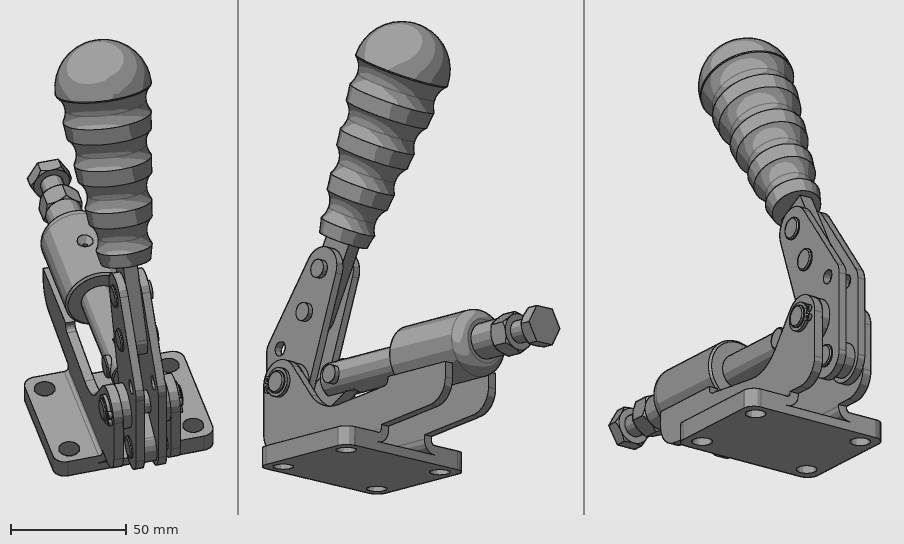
import cadquery as cq
import math


axis_height = 43.0
pivot = (0, axis_height)
plunger_joint = (-26.0, axis_height)
link_joint = (7.0, 24.6)
lever_joint = (-17.5, 92.1)
lever_tilt = math.radians(28)
rivet_spacing = 20.0
lever_lower_joint = (
    lever_joint[0] + rivet_spacing * math.sin(lever_tilt),
    lever_joint[1] - rivet_spacing * math.cos(lever_tilt),
)

base_width = 72.0
base_left = -64.1
base_right = -8.0
base_thickness = 4.1
base_corner_radius = 5.3
base_hole_diameter = 9.0
base_hole_places = [(x, y) for x in (-55.7, -15.8) for y in (-28.0, 28.0)]
sheet = 4.3
bracket_outer_y = 15.0
bracket_inner_y = bracket_outer_y - sheet
bend_outer_radius = 6.0
bend_inner_radius = bend_outer_radius - sheet
bracket_left = -104.6
bracket_saddle_z = 32.9
bracket_notch_z = 29.3
bracket_bottom_z = 11.0
bracket_step_z = 12.1
bracket_taper = math.radians(5.7)
bracket_arm_angle = math.radians(53)
pivot_boss_radius = 10.2
saddle_notch_radius = 2.5
bracket_throat_radius = 19.5
bracket_heel_radius = 10.8
bracket_nose_radius = 10.8

barrel_left = -113.5
barrel_right = -68.2
barrel_radius = 14.9
barrel_nose_radius = 5.0
barrel_rear_chamfer = 1.0
grease_hole_x = -90.7
grease_hole_diameter = 7.6
grease_cone_depth = 2.7
grease_passage_diameter = 2.0
plunger_left = -126.0
plunger_right = -17.6
plunger_radius = 8.0
plunger_end_chamfer = 0.5
plunger_slot_left = -34.6
nut_left = -135.1
nut_turn = 20
bolt_left = -151.3
bolt_head_right = -145.3
bolt_diameter = 10.0
hex_corner_diameter = 18.5
hex_chamfer_length = 1.0

lever_gap = 6.3
lever_outer_y = 6.8
lever_end_radius = 10.0
lever_right = link_joint[0] + lever_end_radius
lever_slope = math.radians(53)
lever_corner_radius = 7.8
lever_hole_place = (8.5, 61.2)
lever_hole_diameter = 6.3
tang_width = 15.6
tang_overlap = 19.5
link_end_radius = 7.8
rivet_diameter = 8.0
rivet_head_diameter = 10.0
rivet_front_y = -8.0
rivet_rear_y = 9.2
rivet_chamfer = 0.5
plunger_rivet_extra = 1.2
pivot_pin_diameter = 10.0
spacer_diameter = 20.0
pivot_pin_end_y = 17.8
ring_outer_diameter = 13.0
ring_thickness = 1.5
ring_lug_radius = 1.5
ring_lug_x = 6.5
ring_lug_z = 2.2
ring_lug_hole_diameter = 1.2

grip_start = 14.7
grip_start_radius = 11.0
ring_count = 4
ring_pitch = 19.7
ring_growth = 2.3
crest_start, crest_radius = 21.0, 12.3
valley_start, valley_radius = 26.4, 10.8
shoulder_start, shoulder_radius = 33.5, 13.9
ball_center = 93.3
ball_radius = 21.1


def across(y_from, y_to):
    """Workplane facing -Y at y_from, and the extrusion that takes it to y_to."""
    return cq.Workplane("XZ", origin=(0, y_from, 0)), y_from - y_to


def disc(place, diameter, y_from, y_to):
    plane, depth = across(y_from, y_to)
    return plane.center(*place).circle(diameter / 2).extrude(depth)


def rod(radius, x_from, x_to):
    plane = cq.Workplane("YZ", origin=(x_from, 0, axis_height))
    return plane.circle(radius).extrude(x_to - x_from)


def both_sides(half):
    return half.union(half.mirror("XZ"))


def round_corner(solid, x, z, radius):
    """Round the edge along Y that passes nearest to the given corner."""
    return solid.edges("|Y").edges(cq.NearestToPointSelector((x, 0, z))).fillet(radius)


def make_base():
    flange_top = base_thickness + sheet
    bend_z = base_thickness + bend_outer_radius
    bend_y = bracket_inner_y + bend_outer_radius
    slant = math.sqrt(0.5)
    length = base_right - base_left
    base = cq.Workplane("XY", origin=(base_left, 0, 0)).box(
        length, base_width, base_thickness, centered=(False, True, False)
    )
    flange = (
        cq.Workplane("YZ", origin=(base_left, 0, 0))
        .moveTo(bracket_inner_y, bracket_bottom_z)
        .lineTo(bracket_inner_y, bend_z)
        .threePointArc(
            (bend_y - bend_outer_radius * slant, bend_z - bend_outer_radius * slant),
            (bend_y, base_thickness),
        )
        .lineTo(base_width / 2, base_thickness)
        .lineTo(base_width / 2, flange_top)
        .lineTo(bend_y, flange_top)
        .threePointArc(
            (bend_y - bend_inner_radius * slant, bend_z - bend_inner_radius * slant),
            (bracket_outer_y, bend_z),
        )
        .lineTo(bracket_outer_y, bracket_bottom_z)
        .close()
        .extrude(length)
    )
    base = base.union(both_sides(flange)).clean()
    for x in (base_left, base_right):
        for y in (-base_width / 2, base_width / 2):
            corner = cq.NearestToPointSelector((x, y, base_thickness))
            base = base.edges("|Z").edges(corner).fillet(base_corner_radius)
    holes = (
        cq.Workplane("XY")
        .pushPoints(base_hole_places)
        .circle(base_hole_diameter / 2)
        .extrude(flange_top)
    )
    return base.cut(holes)


def make_bracket_side():
    slope = math.tan(bracket_taper)
    arm = math.tan(bracket_arm_angle)
    tangent_x = -pivot_boss_radius * math.sin(bracket_arm_angle)
    tangent_z = axis_height + pivot_boss_radius * math.cos(bracket_arm_angle)
    throat_x = (bracket_notch_z + slope * barrel_right - tangent_z + arm * tangent_x) / (arm + slope)
    throat_z = tangent_z + arm * (throat_x - tangent_x)
    nose_z = bracket_step_z + slope * (base_left - bracket_left)
    plane, depth = across(bracket_inner_y, bracket_outer_y)
    side = (
        plane.moveTo(bracket_left, bracket_saddle_z)
        .lineTo(barrel_right, bracket_saddle_z)
        .lineTo(barrel_right, bracket_notch_z)
        .lineTo(throat_x, throat_z)
        .lineTo(tangent_x, tangent_z)
        .threePointArc((0, axis_height + pivot_boss_radius), (pivot_boss_radius, axis_height))
        .lineTo(pivot_boss_radius, bracket_bottom_z)
        .lineTo(base_left, bracket_bottom_z)
        .lineTo(base_left, bracket_step_z)
        .lineTo(bracket_left, nose_z)
        .close()
        .extrude(depth)
    )
    side = round_corner(side, barrel_right, bracket_notch_z, saddle_notch_radius)
    side = round_corner(side, throat_x, throat_z, bracket_throat_radius)
    side = round_corner(side, pivot_boss_radius, bracket_bottom_z, bracket_heel_radius)
    return round_corner(side, bracket_left, nose_z, bracket_nose_radius)


def make_barrel():
    barrel = rod(barrel_radius, barrel_left, barrel_right)
    barrel = barrel.faces("<X").edges().fillet(barrel_nose_radius)
    barrel = barrel.faces(">X").edges().chamfer(barrel_rear_chamfer)
    passage = grease_passage_diameter / 2
    grease_hole = (
        cq.Workplane("XZ", origin=(grease_hole_x, 0, axis_height))
        .polyline(
            [
                (0, plunger_radius),
                (passage, plunger_radius),
                (passage, barrel_radius - grease_cone_depth),
                (grease_hole_diameter / 2, barrel_radius),
                (0, barrel_radius),
            ]
        )
        .close()
        .revolve(360, (0, 0), (0, 1))
    )
    return barrel.cut(grease_hole)


def make_plunger():
    plunger = rod(plunger_radius, plunger_left, plunger_right)
    plunger = plunger.faces(">X").edges().chamfer(plunger_end_chamfer)
    slot = cq.Workplane("XY", origin=(plunger_slot_left, 0, axis_height)).box(
        plunger_right - plunger_slot_left, lever_gap, 2 * plunger_radius, centered=(False, True, True)
    )
    return plunger.cut(slot)


def make_hexagon(x_from, x_to, turn, chamfer_front):
    """Hexagonal prism along X whose corners are turned down at the rear and, if asked, in front."""
    plane = cq.Workplane("YZ", origin=(x_from, 0, axis_height)).transformed(rotate=(0, 0, turn))
    prism = plane.polygon(6, hex_corner_diameter).extrude(x_to - x_from)
    corner = hex_corner_diameter / 2
    flat = corner * math.cos(math.pi / 6)
    front_radius = flat if chamfer_front else corner
    turned = (
        cq.Workplane("XZ", origin=(0, 0, axis_height))
        .polyline(
            [
                (x_from, 0),
                (x_from, front_radius),
                (x_from + hex_chamfer_length, corner),
                (x_to - hex_chamfer_length, corner),
                (x_to, flat),
                (x_to, 0),
            ]
        )
        .close()
        .revolve(360, (0, 0), (1, 0))
    )
    return prism.intersect(turned)


def make_lever_plate():
    radius = lever_end_radius
    left_angle = math.atan2(link_joint[0] - lever_joint[0], lever_joint[1] - link_joint[1])
    left_x = -radius * math.cos(left_angle)
    left_z = -radius * math.sin(left_angle)
    right_x = lever_joint[0] + radius * math.sin(lever_slope)
    right_z = lever_joint[1] + radius * math.cos(lever_slope)
    corner_z = right_z - (lever_right - right_x) * math.tan(lever_slope)
    top = (lever_joint[0], lever_joint[1] + radius)
    bottom = (link_joint[0], link_joint[1] - radius)
    plane, depth = across(lever_gap / 2, lever_outer_y)
    plate = (
        plane.moveTo(lever_joint[0] + left_x, lever_joint[1] + left_z)
        .threePointArc(top, (right_x, right_z))
        .lineTo(lever_right, corner_z)
        .lineTo(lever_right, link_joint[1])
        .threePointArc(bottom, (link_joint[0] + left_x, link_joint[1] + left_z))
        .close()
        .extrude(depth)
    )
    plate = round_corner(plate, lever_right, corner_z, lever_corner_radius)
    return plate.cut(disc(lever_hole_place, lever_hole_diameter, 0, lever_outer_y))


def along_lever():
    """Plane at the lever joint whose local Y runs up the lever."""
    return cq.Plane(
        origin=(lever_joint[0], 0, lever_joint[1]),
        xDir=(math.cos(lever_tilt), 0, math.sin(lever_tilt)),
        normal=(0, -1, 0),
    )


def make_tang():
    top = tang_overlap
    half = tang_width / 2
    return (
        cq.Workplane(along_lever())
        .moveTo(half, top)
        .lineTo(half, -rivet_spacing)
        .threePointArc((0, -rivet_spacing - half), (-half, -rivet_spacing))
        .lineTo(-half, top)
        .close()
        .extrude(lever_gap / 2, both=True)
    )


def valley_arc_radius(valley, end):
    """Radius of the arc that leaves the valley bottom parallel to the grip axis and reaches end."""
    rise = end[0] - valley[0]
    run = end[1] - valley[1]
    return (rise**2 + run**2) / (2 * rise)


def make_grip():
    """Turned grip: rings that widen up the lever and end in a half ball."""
    profile = (
        cq.Workplane(along_lever())
        .moveTo(0, grip_start)
        .lineTo(grip_start_radius, grip_start)
    )
    for index in range(ring_count):
        along = index * ring_pitch
        growth = index * ring_growth
        crest = (crest_radius + growth, crest_start + along)
        valley = (valley_radius + growth, valley_start + along)
        shoulder = (shoulder_radius + growth, shoulder_start + along)
        profile = profile.lineTo(*crest)
        profile = profile.radiusArc(valley, valley_arc_radius(valley, crest))
        profile = profile.radiusArc(shoulder, valley_arc_radius(valley, shoulder))
    profile = profile.lineTo(ball_radius, ball_center)
    slant = ball_radius * math.sqrt(0.5)
    profile = profile.threePointArc((slant, ball_center + slant), (0, ball_center + ball_radius))
    return profile.close().revolve(360, (0, 0), (0, 1))


def make_link():
    length_x = link_joint[0] - plunger_joint[0]
    length_z = link_joint[1] - plunger_joint[1]
    tilt = math.degrees(math.atan2(length_z, length_x))
    middle = ((link_joint[0] + plunger_joint[0]) / 2, (link_joint[1] + plunger_joint[1]) / 2)
    overall = math.hypot(length_x, length_z) + 2 * link_end_radius
    return (
        cq.Workplane("XZ")
        .center(*middle)
        .slot2D(overall, 2 * link_end_radius, tilt)
        .extrude(lever_gap / 2, both=True)
    )


def make_rivet(place, extra=0):
    """Rivet with its head on the -Y side, longer at each end by the given extra."""
    head = disc(place, rivet_head_diameter, rivet_front_y - extra, 0)
    head = head.faces("<Y").edges().chamfer(rivet_chamfer)
    shank = disc(place, rivet_diameter, rivet_front_y / 2, rivet_rear_y + extra)
    return head.union(shank)


def make_pivot_half():
    """Half of the pivot pin with its spacer and its retaining ring with two lugs."""
    pin = disc(pivot, pivot_pin_diameter, 0, pivot_pin_end_y)
    pin = pin.faces(">Y").edges().chamfer(rivet_chamfer)
    spacer = disc(pivot, spacer_diameter, lever_outer_y, bracket_inner_y)
    ring_y = bracket_outer_y + ring_thickness
    ring = disc(pivot, ring_outer_diameter, bracket_outer_y, ring_y)
    for side in (-1, 1):
        place = (ring_lug_x, axis_height + side * ring_lug_z)
        ring = ring.union(disc(place, 2 * ring_lug_radius, bracket_outer_y, ring_y))
        ring = ring.cut(disc(place, ring_lug_hole_diameter, bracket_outer_y, ring_y))
    return pin.union(spacer).union(ring)


result = make_base()
for part in (
    both_sides(make_bracket_side()),
    make_barrel(),
    make_plunger(),
    make_hexagon(nut_left, plunger_left, nut_turn, True),
    rod(bolt_diameter / 2, bolt_head_right, nut_left),
    make_hexagon(bolt_left, bolt_head_right, 0, False),
    both_sides(make_pivot_half()),
    both_sides(make_lever_plate()),
    make_tang(),
    make_grip(),
    make_link(),
    make_rivet(lever_joint),
    make_rivet(lever_lower_joint),
    make_rivet(link_joint),
    make_rivet(plunger_joint, plunger_rivet_extra),
):
    result = result.union(part)
result = result.clean()